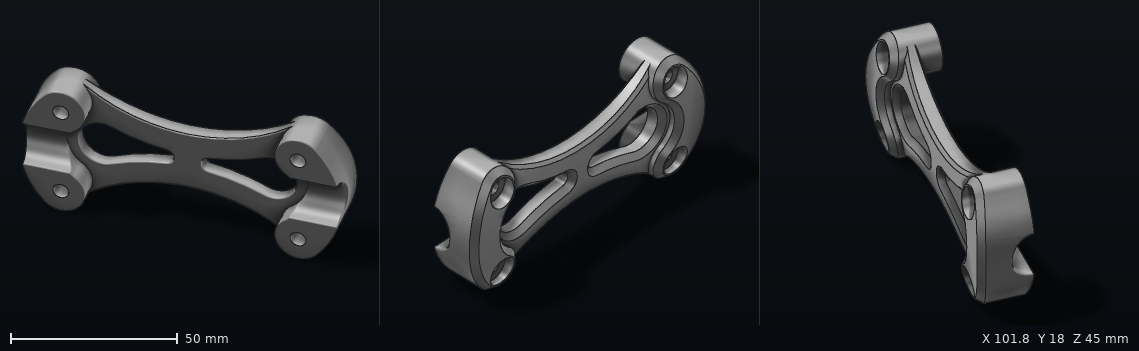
import cadquery as cq
import math


half_length = 50.9
block_depth = 18.0
crown_radius = 88.6
block_back_chamfer = 2.0

screw_x = 37.5
screw_z = 15.0
boss_radius = 7.5
screw_hole_diameter = 5.0
counterbore_diameter = 10.0
counterbore_depth = 5.0

groove_radius = 7.5

bridge_front = groove_radius
bridge_back_recess = 4.0
bridge_back = block_depth - bridge_back_recess
bridge_back_chamfer = 1.0
bridge_overlap = 3.1
waist_half_width = 10.0

window_x = 27.0
window_radius = 7.5
window_gap = 8.6
window_back_chamfer = 2.0

front_edge_radius = 0.5

margin = 0.1

boss_center = (screw_x, screw_z)
window_center = (window_x, 0.0)

boss_rise = screw_z - waist_half_width
waist_radius = (screw_x**2 + boss_rise**2 - boss_radius**2) / (2 * (boss_radius + boss_rise))
waist_center = (0.0, waist_half_width + waist_radius)

boss_reach = half_length - boss_radius
end_center_x = (screw_x**2 + screw_z**2 - boss_reach**2) / (2 * (screw_x - boss_reach))
end_center = (end_center_x, 0.0)

hollow_radius = math.dist(window_center, boss_center) - boss_radius
hollow_x = window_x + hollow_radius


def point_toward(start, target, distance):
    """Point at a distance from start, on the line toward target."""
    length = math.dist(start, target)
    return tuple(s + (t - s) * distance / length for s, t in zip(start, target))


def flip_x(point):
    return (-point[0], point[1])


def flip_z(point):
    return (point[0], -point[1])


def extrude_back(sketch, front, back):
    """Extrude an XZ outline from Y = front to Y = back."""
    return sketch.extrude(front - back).translate((0, front, 0))


def crown(depth):
    """Cylinder along X whose rearmost line lies at Y = depth."""
    profile = cq.Workplane("YZ").center(depth - crown_radius, 0).circle(crown_radius)
    return profile.extrude(half_length, both=True)


def edges_within(x_limit, y_low, y_high, z_limit):
    """Selector for edges centred in a box that is symmetric in X and Z."""
    return cq.selectors.BoxSelector((-x_limit, y_low, -z_limit), (x_limit, y_high, z_limit))


def end_block():
    """Right-hand block: two bosses joined by the outer arc and the inner hollow."""
    outer = point_toward(boss_center, end_center, -boss_radius)
    inner = point_toward(boss_center, window_center, boss_radius)
    boss_mid = point_toward(boss_center, waist_center, boss_radius)
    outline = (
        cq.Workplane("XZ")
        .moveTo(*flip_z(outer))
        .threePointArc((half_length, 0), outer)
        .threePointArc(boss_mid, inner)
        .threePointArc((hollow_x, 0), flip_z(inner))
        .threePointArc(flip_z(boss_mid), flip_z(outer))
        .close()
    )
    block = extrude_back(outline, 0, block_depth).intersect(crown(block_depth))
    block = block.faces(">Y").chamfer(block_back_chamfer)
    block = block.cut(cq.Workplane("YZ").circle(groove_radius).extrude(half_length))

    groove_middle = ((hollow_x + half_length) / 2, groove_radius / 2, 0)
    groove_face = block.faces(cq.selectors.NearestToPointSelector(groove_middle))
    return block.faces("<Y").add(groove_face).edges().fillet(front_edge_radius)


def window():
    """Right-hand teardrop cutter with flanks concentric to the waist arcs."""
    flank_radius = math.dist(window_center, waist_center) - window_radius
    tip_x = window_gap / 2
    tip_radius = (waist_center[1] ** 2 + tip_x**2 - flank_radius**2) / (2 * (flank_radius - tip_x))
    tip_center = (tip_x + tip_radius, 0.0)

    wide_end = point_toward(window_center, waist_center, window_radius)
    tip_end = point_toward(tip_center, waist_center, tip_radius)
    chord_middle = ((wide_end[0] + tip_end[0]) / 2, (wide_end[1] + tip_end[1]) / 2)
    flank_middle = point_toward(waist_center, chord_middle, flank_radius)
    outline = (
        cq.Workplane("XZ")
        .moveTo(*tip_end)
        .threePointArc(flank_middle, wide_end)
        .threePointArc((window_x + window_radius, 0), flip_z(wide_end))
        .threePointArc(flip_z(flank_middle), flip_z(tip_end))
        .threePointArc((tip_x, 0), tip_end)
        .close()
    )
    return extrude_back(outline, 0, block_depth)


def bridge():
    """Waisted plate with two windows; its ends are buried in the blocks."""
    waist_end = point_toward(boss_center, waist_center, boss_radius)
    buried_corner = (hollow_x + bridge_overlap, screw_z)
    outline = (
        cq.Workplane("XZ")
        .moveTo(*flip_x(waist_end))
        .threePointArc((0, waist_half_width), waist_end)
        .lineTo(*buried_corner)
        .lineTo(*flip_z(buried_corner))
        .lineTo(*flip_z(waist_end))
        .threePointArc((0, -waist_half_width), flip_z(flip_x(waist_end)))
        .lineTo(*flip_z(flip_x(buried_corner)))
        .lineTo(*flip_x(buried_corner))
        .close()
    )
    plate = extrude_back(outline, bridge_front, bridge_back).intersect(crown(bridge_back))

    front_range = (bridge_front - margin, bridge_front + margin)
    back_range = ((bridge_front + bridge_back) / 2 + margin, bridge_back + margin)

    plate = plate.edges(edges_within(margin, *back_range, screw_z)).chamfer(bridge_back_chamfer)
    plate = plate.edges(edges_within(margin, *front_range, screw_z)).fillet(front_edge_radius)

    opening = window()
    plate = plate.cut(opening).cut(opening.mirror("YZ"))
    x_limit = window_x + window_radius + margin
    plate = plate.edges(edges_within(x_limit, *back_range, window_radius)).chamfer(window_back_chamfer)
    return plate.edges(edges_within(x_limit, *front_range, window_radius)).fillet(front_edge_radius)


def screw_cutters(diameter, front, back):
    """Four cylinders along Y at the screw positions."""
    places = [(side * screw_x, level * screw_z) for side in (1, -1) for level in (1, -1)]
    return extrude_back(cq.Workplane("XZ").pushPoints(places).circle(diameter / 2), front, back)


right_block = end_block()
body = bridge().union(right_block).union(right_block.mirror("YZ"))
body = body.cut(screw_cutters(screw_hole_diameter, 0, block_depth))
body = body.cut(screw_cutters(counterbore_diameter, block_depth - counterbore_depth, block_depth))

result = body